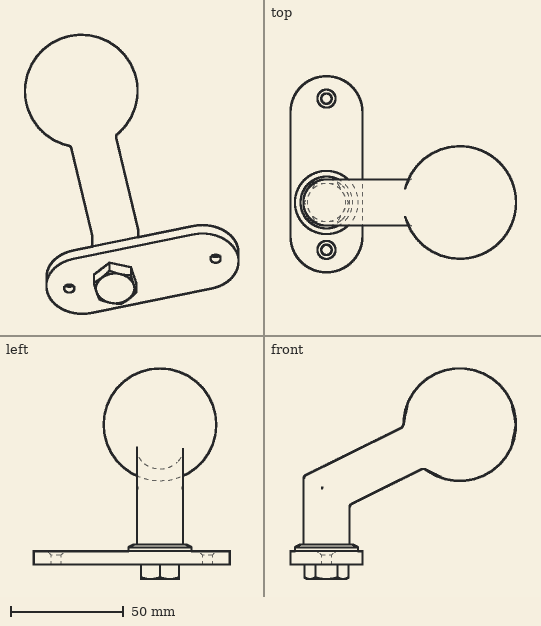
import cadquery as cq
import math


plate_width = 32.0
plate_length = 87.0
plate_thickness = 6.0
plate_front_reach = 31.0
plate_center_y = plate_length / 2 - plate_front_reach

hole_end_margin = 10.0
hole_spacing = plate_length - 2 * hole_end_margin
hole_diameter = 4.5
countersink_diameter = 8.0
countersink_angle = 90.0

collar_diameter = 28.0
collar_top_diameter = 23.0
collar_height = 3.0
collar_chamfer_height = 1.3

hex_across_flats = 17.0
hex_height = 6.4
hex_chamfer_angle = 30.0
hex_flat_radius = hex_across_flats / 2
hex_corner_radius = hex_flat_radius / math.cos(math.pi / 6)
hex_chamfer_width = hex_corner_radius - hex_flat_radius
hex_chamfer_height = hex_chamfer_width * math.tan(math.radians(hex_chamfer_angle))

lever_diameter = 20.5
lever_radius = lever_diameter / 2
elbow_z = 26.8
ball_diameter = 50.0
ball_x = 59.0
ball_z = 56.0
lever_fillet = 2.0
arm_rise = ball_z - elbow_z
arm_length = math.hypot(ball_x, arm_rise)
elbow_fillet_margin = 0.2

neck_to_ball = math.sqrt((ball_diameter / 2) ** 2 - lever_radius**2)
neck_x = ball_x * (1 - neck_to_ball / arm_length)
neck_z = ball_z - arm_rise * neck_to_ball / arm_length


def make_plate():
    """Round-ended plate with a countersunk hole near each end."""
    return (
        cq.Workplane("XY")
        .center(0, plate_center_y)
        .slot2D(plate_length, plate_width, 90)
        .extrude(-plate_thickness)
        .faces(">Z")
        .workplane(origin=(0, plate_center_y, 0))
        .pushPoints([(0, -hole_spacing / 2), (0, hole_spacing / 2)])
        .cskHole(hole_diameter, countersink_diameter, countersink_angle)
    )


def make_collar():
    """Disc on the plate with a shallow bevel round its top."""
    bevel_width = (collar_diameter - collar_top_diameter) / 2
    return (
        cq.Workplane("XY")
        .circle(collar_diameter / 2)
        .extrude(collar_height)
        .faces(">Z")
        .edges()
        .chamfer(collar_chamfer_height, bevel_width)
    )


def make_hex_head():
    """Hexagon under the plate, its bottom corners turned off by a cone."""
    bottom_z = -plate_thickness - hex_height
    hexagon = (
        cq.Workplane("XY", origin=(0, 0, bottom_z))
        .polygon(6, 2 * hex_corner_radius)
        .extrude(hex_height)
    )
    turned_blank = (
        cq.Workplane("XY", origin=(0, 0, bottom_z))
        .circle(hex_corner_radius)
        .extrude(hex_height)
        .faces("<Z")
        .edges()
        .chamfer(hex_chamfer_height, hex_chamfer_width)
    )
    return hexagon.intersect(turned_blank)


def round_elbow(rod):
    """Fillet the mitre, stopping just short of the sides, where its edge fades out."""
    slab_thickness = lever_diameter - 2 * elbow_fillet_margin
    slab_side = 4 * arm_length
    middle_slab = cq.Workplane("XY").box(slab_side, slab_thickness, slab_side)
    middle = rod.intersect(middle_slab)
    rounded_middle = middle.edges("%ELLIPSE").fillet(lever_fillet)
    return rounded_middle.union(rod.cut(middle_slab))


def make_lever():
    """Upright stem mitred to a sloping arm that ends in a ball, with the joints rounded."""
    path = (
        cq.Workplane("XZ")
        .moveTo(0, collar_height)
        .lineTo(0, elbow_z)
        .lineTo(ball_x, ball_z)
    )
    rod = (
        cq.Workplane("XY", origin=(0, 0, collar_height))
        .circle(lever_radius)
        .sweep(path, transition="right")
    )
    ball = cq.Workplane("XZ", origin=(ball_x, 0, ball_z)).sphere(ball_diameter / 2)
    lever = round_elbow(rod).union(ball)
    neck_finder = cq.selectors.BoxSelector(
        (neck_x - lever_radius, -lever_radius, neck_z - lever_radius),
        (neck_x + lever_radius, lever_radius, neck_z + lever_radius),
    )
    return lever.edges(neck_finder).fillet(lever_fillet)


plate = make_plate()
collar = make_collar()
hex_head = make_hex_head()
lever = make_lever()

result = cq.Compound.makeCompound([plate.val(), collar.val(), hex_head.val(), lever.val()])